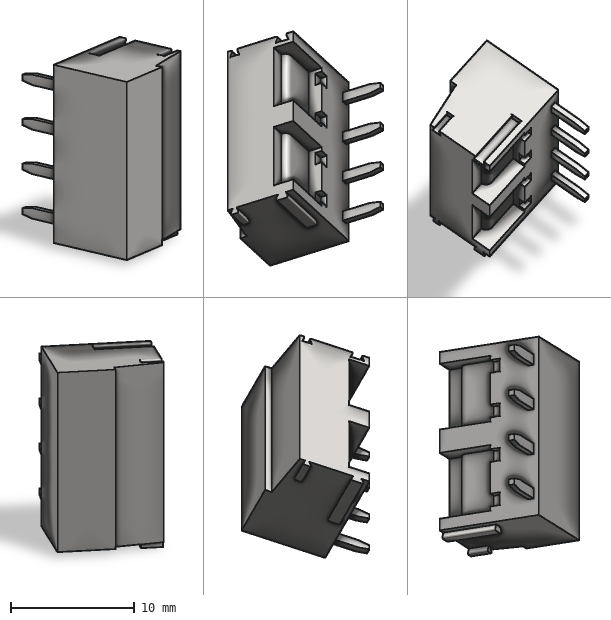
import cadquery as cq
import math

PITCH = 3.81
PIN_COUNT = 4
PINS_PER_POCKET = 2

BODY_LENGTH = 7.4
BODY_HEIGHT = 9.0
BODY_WIDTH = PIN_COUNT * PITCH
SHOULDER_HEIGHT = 4.8
SLOPE_BASE_X = 6.8
SLOPE_TOP_X = 6.15

PIN_LENGTH = 3.5
PIN_WIDTH = 0.9
PIN_THICKNESS = 0.5
PIN_BASE_Y = 0.46
PIN_TIP_WIDTH = 0.5
PIN_TAPER_LENGTH = 1.0
PIN_EMBED = 0.5

POCKET_WALL = 1.0
POCKET_BASE_Y = 4.4
POCKET_DEPTH = 1.2
POCKET_STEP = 0.6
POCKET_STEP_Y = 7.8
SLOT_WIDTH = 1.1
SLOT_DEPTH = 0.6
SLOT_BASE_Y = 3.55

DOVETAIL_ANGLE = 22.0
DOVETAIL_EDGE_RADIUS = 0.13
RIB_HEIGHT = 0.55
GROOVE_DEPTH = 0.6
MAIN_DOVETAIL_X = 1.055
MAIN_RIB_ROOT_WIDTH = 0.76
MAIN_GROOVE_MOUTH_WIDTH = 0.71
MAIN_GROOVE_LENGTH = 4.87
MAIN_RIB_LENGTH = 4.8
SMALL_DOVETAIL_X = 5.5
SMALL_RIB_ROOT_WIDTH = 0.38
SMALL_GROOVE_MOUTH_WIDTH = 0.36
SMALL_DOVETAIL_LENGTH = 1.8


def block(x_range, y_range, z_range):
    """Box spanning the given (low, high) pairs."""
    sizes = [high - low for low, high in (x_range, y_range, z_range)]
    return cq.Workplane("XY").box(*sizes, centered=False).translate((x_range[0], y_range[0], z_range[0]))


def make_body():
    outline = [
        (0, 0),
        (BODY_LENGTH, 0),
        (BODY_LENGTH, SHOULDER_HEIGHT),
        (SLOPE_BASE_X, SHOULDER_HEIGHT),
        (SLOPE_TOP_X, BODY_HEIGHT),
        (0, BODY_HEIGHT),
    ]
    return cq.Workplane("XY").polyline(outline).close().extrude(BODY_WIDTH)


def make_pocket(z_low, z_high):
    """Pocket volume whose floor drops by a rounded step near the open top."""
    floor_end_y = POCKET_STEP_Y - POCKET_STEP
    deep_x = POCKET_DEPTH + POCKET_STEP
    arc_middle = (
        deep_x - POCKET_STEP * math.cos(math.pi / 4),
        floor_end_y + POCKET_STEP * math.sin(math.pi / 4),
    )
    profile = (
        cq.Workplane("XY")
        .moveTo(0, POCKET_BASE_Y)
        .lineTo(POCKET_DEPTH, POCKET_BASE_Y)
        .lineTo(POCKET_DEPTH, floor_end_y)
        .threePointArc(arc_middle, (deep_x, POCKET_STEP_Y))
        .lineTo(deep_x, BODY_HEIGHT)
        .lineTo(0, BODY_HEIGHT)
        .close()
    )
    return profile.extrude(z_high - z_low).translate((0, 0, z_low))


def make_slot(z_center):
    """Contact slot that runs down from the pocket base."""
    z_range = (z_center - SLOT_WIDTH / 2, z_center + SLOT_WIDTH / 2)
    return block((0, SLOT_DEPTH), (SLOT_BASE_Y, POCKET_BASE_Y), z_range)


def make_pin(z_center):
    """Flat pin with both edges tapered at the tip, rooted inside the housing."""
    taper_x = PIN_TAPER_LENGTH - PIN_LENGTH
    outline = [
        (PIN_EMBED, -PIN_WIDTH / 2),
        (taper_x, -PIN_WIDTH / 2),
        (-PIN_LENGTH, -PIN_TIP_WIDTH / 2),
        (-PIN_LENGTH, PIN_TIP_WIDTH / 2),
        (taper_x, PIN_WIDTH / 2),
        (PIN_EMBED, PIN_WIDTH / 2),
    ]
    pin = cq.Workplane("XZ").polyline(outline).close().extrude(-PIN_THICKNESS)
    return pin.translate((0, PIN_BASE_Y, z_center))


def make_dovetail(x_center, narrow_width, height, length):
    """Sharp dovetail prism ending at the housing top, narrow at Z = 0 and widening toward -Z."""
    half_narrow = narrow_width / 2
    half_wide = half_narrow + height * math.tan(math.radians(DOVETAIL_ANGLE))
    outline = [
        (-half_narrow, 0),
        (half_narrow, 0),
        (half_wide, -height),
        (-half_wide, -height),
    ]
    prism = cq.Workplane("XZ").polyline(outline).close().extrude(length)
    return prism.translate((x_center, BODY_HEIGHT, 0))


def make_rib(x_center, root_width, length):
    rib = make_dovetail(x_center, root_width, RIB_HEIGHT, length)
    return rib.faces("<Z").edges("|Y").fillet(DOVETAIL_EDGE_RADIUS)


def make_lip_relief(x_center, mouth_width, length, side):
    """Volume that rounds one lip of a groove (side is +1 or -1)."""
    radius = DOVETAIL_EDGE_RADIUS
    slope = math.radians(DOVETAIL_ANGLE)
    lip_x = mouth_width / 2
    center_x = lip_x + radius * (1 + math.sin(slope)) / math.cos(slope)
    tangent = (center_x - radius * math.cos(slope), -radius - radius * math.sin(slope))
    middle_angle = (3 * math.pi / 2 + slope) / 2
    middle = (center_x + radius * math.cos(middle_angle), -radius + radius * math.sin(middle_angle))
    relief = (
        cq.Workplane("XZ")
        .moveTo(side * lip_x, 0)
        .lineTo(side * tangent[0], tangent[1])
        .threePointArc((side * middle[0], middle[1]), (side * center_x, 0))
        .close()
        .extrude(length)
    )
    return relief.translate((x_center, BODY_HEIGHT, 0))


def make_groove(x_center, mouth_width, length):
    groove = make_dovetail(x_center, mouth_width, GROOVE_DEPTH, length)
    for side in (-1, 1):
        groove = groove.union(make_lip_relief(x_center, mouth_width, length, side))
    return groove.translate((0, 0, BODY_WIDTH))


pin_positions = [(index + 0.5) * PITCH for index in range(PIN_COUNT)]
pocket_pitch = PINS_PER_POCKET * PITCH

result = make_body()

for pocket_index in range(PIN_COUNT // PINS_PER_POCKET):
    pocket_start = pocket_index * pocket_pitch
    result = result.cut(make_pocket(pocket_start + POCKET_WALL, pocket_start + pocket_pitch - POCKET_WALL))

for pin_z in pin_positions:
    result = result.cut(make_slot(pin_z)).union(make_pin(pin_z))

result = result.cut(make_groove(MAIN_DOVETAIL_X, MAIN_GROOVE_MOUTH_WIDTH, MAIN_GROOVE_LENGTH))
result = result.cut(make_groove(SMALL_DOVETAIL_X, SMALL_GROOVE_MOUTH_WIDTH, SMALL_DOVETAIL_LENGTH))

result = result.union(make_rib(MAIN_DOVETAIL_X, MAIN_RIB_ROOT_WIDTH, MAIN_RIB_LENGTH))
result = result.union(make_rib(SMALL_DOVETAIL_X, SMALL_RIB_ROOT_WIDTH, SMALL_DOVETAIL_LENGTH))